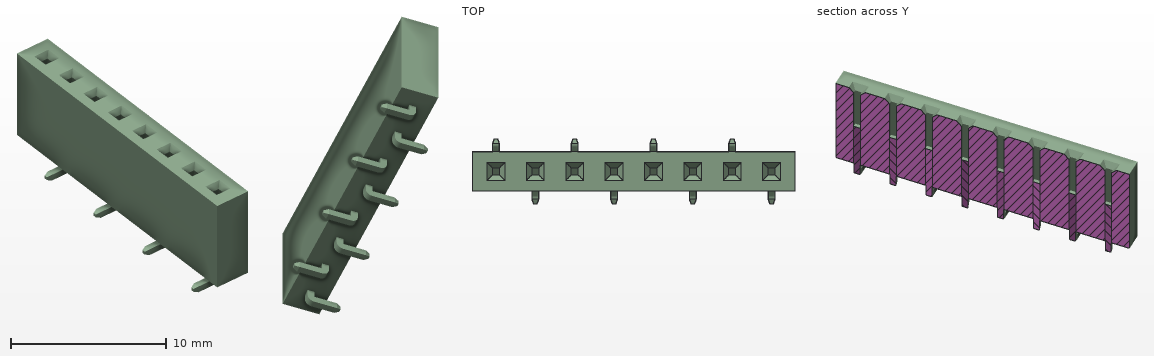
import cadquery as cq

HOUSING_LENGTH = 20.82
HOUSING_WIDTH = 2.55
HOUSING_HEIGHT = 6.58
TOTAL_HEIGHT = 7.5

CONTACT_COUNT = 8
PITCH = 2.55
FIRST_CONTACT_X = -PITCH * (CONTACT_COUNT - 1) / 2

FUNNEL_MOUTH = 1.15
FUNNEL_DEPTH = 0.35

WIRE = 0.45
FOOT_SPAN = 4.2
TIP_LENGTH = 0.31
TIP_WIDTH = 0.23

HOUSING_BOTTOM = TOTAL_HEIGHT - HOUSING_HEIGHT
FUNNEL_BOTTOM = TOTAL_HEIGHT - FUNNEL_DEPTH
CONTACT_TOP = HOUSING_BOTTOM + HOUSING_HEIGHT / 2

FOOT_REACH = FOOT_SPAN / 2
TIP_START = FOOT_REACH - TIP_LENGTH


def make_funnel(x):
    """Square tapered opening, narrowing from its mouth to the wire size."""
    return (
        cq.Workplane("XY", origin=(x, 0, FUNNEL_BOTTOM))
        .rect(WIRE, WIRE)
        .workplane(offset=FUNNEL_DEPTH)
        .rect(FUNNEL_MOUTH, FUNNEL_MOUTH)
        .loft(ruled=True)
    )


def make_wire_hole(x):
    """Square through hole whose lower half holds the upright part of a contact."""
    return (
        cq.Workplane("XY", origin=(x, 0, HOUSING_BOTTOM))
        .rect(WIRE, WIRE)
        .extrude(FUNNEL_BOTTOM - HOUSING_BOTTOM)
    )


def make_housing(contact_places):
    """Rectangular block with a funnel and a wire hole for every contact."""
    housing = cq.Workplane("XY", origin=(0, 0, HOUSING_BOTTOM)).box(
        HOUSING_LENGTH, HOUSING_WIDTH, HOUSING_HEIGHT, centered=(True, True, False)
    )
    for x in contact_places:
        housing = housing.cut(make_wire_hole(x)).cut(make_funnel(x))
    return housing


def make_contact(x, foot_turn):
    """L-shaped contact: its foot points to +Y, then turns by foot_turn degrees about Z."""
    half = WIRE / 2
    bent_wire = (
        cq.Workplane("YZ")
        .moveTo(-half, CONTACT_TOP)
        .lineTo(-half, WIRE)
        .radiusArc((half, 0), -WIRE)
        .lineTo(TIP_START, 0)
        .lineTo(TIP_START, WIRE)
        .lineTo(half, WIRE)
        .lineTo(half, CONTACT_TOP)
        .close()
        .extrude(half, both=True)
    )
    tip = (
        cq.Workplane("XZ", origin=(0, FOOT_REACH, half))
        .rect(TIP_WIDTH, TIP_WIDTH)
        .workplane(offset=TIP_LENGTH)
        .rect(WIRE, WIRE)
        .loft(ruled=True)
    )
    contact = bent_wire.union(tip)
    return contact.rotate((0, 0, 0), (0, 0, 1), foot_turn).translate((x, 0, 0))


contact_places = [FIRST_CONTACT_X + PITCH * i for i in range(CONTACT_COUNT)]

housing = make_housing(contact_places)

contacts = []
for i, x in enumerate(contact_places):
    contacts.append(make_contact(x, 180 * (i % 2)))

result = cq.Compound.makeCompound([housing.val(), *[contact.val() for contact in contacts]])